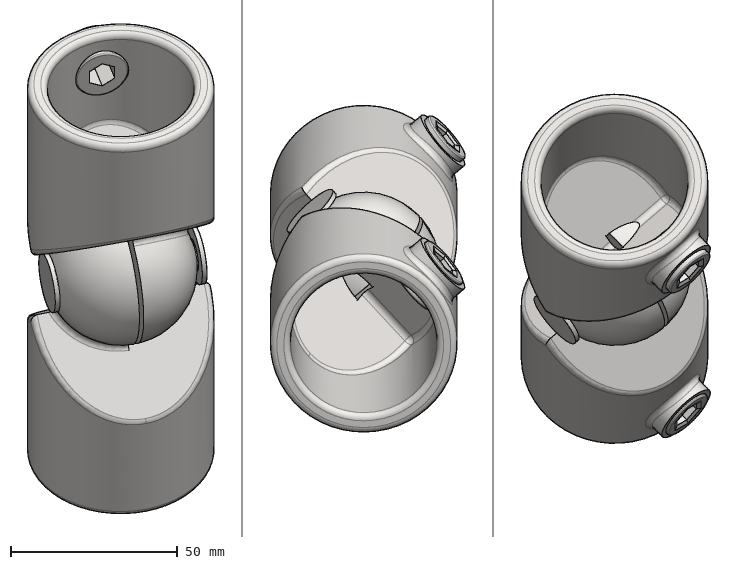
import cadquery as cq
import math

half_length = 75.0
outer_diameter = 56.0
bore_diameter = 44.0
wedge_apex = 12.2
wedge_angle = 42.0
edge_radius = 2.0
ball_radius = 23.0
ball_clearance = 0.2
ball_gap = 1.4

boss_radius = 9.9
boss_face = 31.6
boss_height = 60.8

screw_radius = 8.2
screw_length = 13.0
screw_edge = 0.5
overall_width = 61.5
lower_screw_face = 32.5
hex_flats = 7.8
hex_mouth_flats = 10.6
hex_mouth_depth = 0.6

pin_radius = 5.0
pin_head_radius = 9.2
pin_head_thickness = 1.5
pin_front = -23.0
pin_back = 24.3

outer_radius = outer_diameter / 2
bore_radius = bore_diameter / 2
upper_screw_face = overall_width - outer_radius
half_gap = ball_gap / 2
wall = outer_radius - bore_radius
wedge_slope = math.tan(math.radians(wedge_angle))
floor_apex = wedge_apex + wall / math.cos(math.radians(wedge_angle))
pin_seat = pin_front + pin_head_thickness
wedge_reach = 2 * outer_radius
hex_corner_ratio = 1 / math.cos(math.radians(30))
margin = 1.5


def wedge_rod(radius, apex, top):
    """Upright rod whose lower end is a V-shaped wedge with its tip at height apex."""
    rise = wedge_reach * wedge_slope
    rod = cq.Workplane("XY").circle(radius).extrude(top)
    below = (
        cq.Workplane("XZ")
        .moveTo(0, apex)
        .lineTo(wedge_reach, apex + rise)
        .lineTo(wedge_reach, -margin)
        .lineTo(-wedge_reach, -margin)
        .lineTo(-wedge_reach, apex + rise)
        .close()
        .extrude(wedge_reach, both=True)
    )
    return rod.cut(below)


def rod_along_x(radius, start, end, height):
    """Round rod between two X positions, its axis at the given height."""
    return cq.Workplane("YZ", origin=(start, 0, height)).circle(radius).extrude(end - start)


def rod_along_y(radius, start, end):
    """Round rod from start (the greater Y) to end."""
    return cq.Workplane("XZ", origin=(0, start, 0)).circle(radius).extrude(start - end)


def ball_part(radius, near, far):
    """Slab of a ball centred on the pivot between two Y positions."""
    slab = cq.Workplane("XY").box(2 * radius + margin, far - near, 2 * radius + margin)
    return cq.Workplane("XY").sphere(radius).intersect(slab.translate((0, (near + far) / 2, 0)))


def socket_bore():
    """Blind bore with a V-shaped floor parallel to the wedge end, rounded where floor and wall meet."""
    bore = wedge_rod(bore_radius, floor_apex, half_length)
    return bore.edges("not >Z").edges("not |Z").fillet(edge_radius)


def socket_mouth():
    """Flared disc that rounds the open edge of the bore."""
    return (
        cq.Workplane("XZ")
        .moveTo(0, half_length)
        .lineTo(bore_radius + edge_radius, half_length)
        .radiusArc((bore_radius, half_length - edge_radius), -edge_radius)
        .lineTo(0, half_length - edge_radius)
        .close()
        .revolve(360, (0, 0, 0), (0, 1, 0))
    )


def add_boss(body):
    """Join the screw boss on the -X side, rounding its root on the socket wall."""
    boss = rod_along_x(boss_radius, -boss_face, 0, boss_height)
    reach = boss_radius + margin / 2
    root = cq.selectors.BoxSelector(
        (-outer_radius - margin / 2, -reach, boss_height - reach),
        (-bore_radius, reach, boss_height + reach),
        boundingbox=True,
    )
    return body.union(boss).edges(root).fillet(edge_radius)


def add_half_ball(body):
    """Join a half ball on the +Y side, rounding the two arcs where it meets the wedge faces."""
    half_ball = ball_part(ball_radius, half_gap, ball_radius + margin)
    joint = cq.selectors.BoxSelector(
        (-ball_radius, half_gap + margin, 0),
        (ball_radius, ball_radius, ball_radius),
    )
    return body.union(half_ball).edges("%CIRCLE").edges(joint).fillet(edge_radius)


def make_housing():
    """Upper housing: a socket with a screw boss on -X and a half ball on +Y."""
    body = wedge_rod(outer_radius, wedge_apex, half_length)
    body = body.edges("not |Y").fillet(edge_radius)
    body = add_boss(body)
    body = add_half_ball(body)
    body = body.cut(ball_part(ball_radius + ball_clearance, -ball_radius - margin, half_gap))
    body = body.cut(socket_bore()).cut(socket_mouth())
    body = body.cut(rod_along_x(screw_radius, -boss_face, 0, boss_height))
    body = body.cut(rod_along_y(pin_radius, ball_radius, 0))
    return body


def make_screw(face, height):
    """Grub screw with a hexagon socket through it, its outer end facing -X."""
    screw = rod_along_x(screw_radius, -face, screw_length - face, height)
    screw = screw.faces("<X or >X").edges().fillet(screw_edge)
    outer_end = cq.Workplane("YZ", origin=(-face, 0, height)).transformed(rotate=(0, 0, 90))
    key_hole = outer_end.polygon(6, hex_flats * hex_corner_ratio).extrude(screw_length)
    mouth = (
        outer_end.polygon(6, hex_mouth_flats * hex_corner_ratio)
        .workplane(offset=hex_mouth_depth)
        .polygon(6, hex_flats * hex_corner_ratio)
        .loft(ruled=True)
    )
    return screw.cut(key_hole).cut(mouth)


def make_pin():
    """Pivot pin with a flat head at each end."""
    shank = rod_along_y(pin_radius, pin_back, pin_front)
    front_head = rod_along_y(pin_head_radius, pin_seat, pin_front)
    back_head = rod_along_y(pin_head_radius, pin_back, pin_back - pin_head_thickness)
    return shank.union(front_head).union(back_head)


upper_housing = make_housing()
lower_housing = upper_housing.rotate((0, 0, 0), (1, 0, 0), 180)
lower_housing = lower_housing.cut(rod_along_y(pin_head_radius, pin_seat, pin_front))
pin = make_pin()
screws = [make_screw(upper_screw_face, boss_height), make_screw(lower_screw_face, -boss_height)]

result = cq.Compound.makeCompound(
    [upper_housing.val(), lower_housing.val(), pin.val(), *[screw.val() for screw in screws]]
)